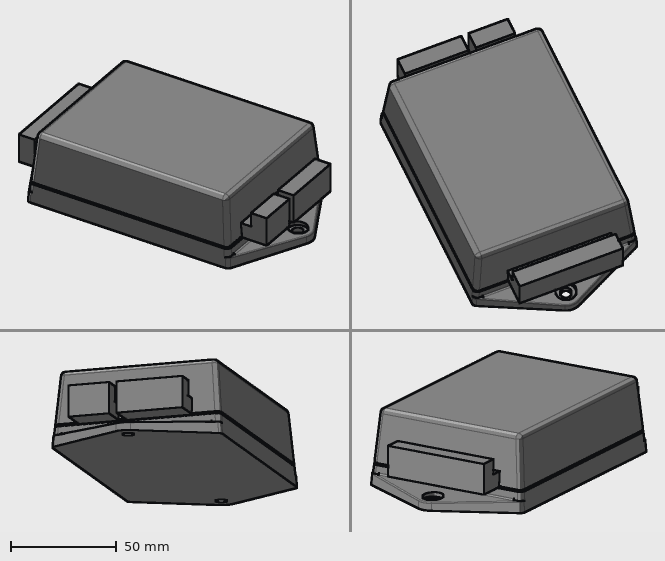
import cadquery as cq
import math

BASE_LENGTH = 113.0
BASE_WIDTH = 84.87
HEIGHT = 37.54
DRAFT = 5.0
EDGE_RADIUS = 2.5

BODY_FOOT = 3.0

GROOVE_BOTTOM = 10.1
GROOVE_HEIGHT = 0.95
GROOVE_DEPTH = 1.3

FLANGE_LENGTH = 152.73
FLANGE_TIP_RADIUS = 8.2
FLANGE_EDGE_ANGLE = 26.8
FLANGE_SLOPE = 5.0
FLANGE_TIP_HEIGHT = 4.0
FLANGE_CREST_X = 45.0
FLANGE_EDGE_RADIUS = 0.6
FLANGE_ROOT_RADIUS = 0.8
FLANGE_ROOT_LENGTH = 75.0

HOLE_X = FLANGE_LENGTH / 2 - FLANGE_TIP_RADIUS
HOLE_DIAMETER = 5.5
COUNTERBORE_DIAMETER = 10.0
COUNTERBORE_FLOOR = 2.9

BLOCK_OUTER_X = 69.3
BLOCK_STEP_X = 60.55
BLOCK_INNER_X = 50.0
BLOCK_BOTTOM = 10.65
BLOCK_STEP_HEIGHT = 18.4
BLOCK_TOP = 25.9
BLOCKS = [
    (-1, -28.9, 24.25),
    (1, -5.45, 27.4),
    (1, -29.4, -9.15),
]


def draft_inset(height):
    """How far a drafted wall has moved inwards at a given height."""
    return height * math.tan(math.radians(DRAFT))


def is_upward(face):
    """True for level and gently sloping top faces, whose normal points mostly along Z."""
    return face.normalAt().z > math.cos(math.radians(2 * FLANGE_SLOPE))


def make_enclosure():
    """Drafted box with rounded corners and rim; its foot is hidden inside the flange."""
    foot_inset = 2 * draft_inset(BODY_FOOT)
    body = (
        cq.Workplane("XY", origin=(0, 0, BODY_FOOT))
        .rect(BASE_LENGTH - foot_inset, BASE_WIDTH - foot_inset)
        .extrude(HEIGHT - BODY_FOOT, taper=DRAFT)
    )
    body = body.edges("not #Z").fillet(EDGE_RADIUS)
    return body.faces(">Z").edges().fillet(EDGE_RADIUS)


def make_groove():
    """Ring that is removed all round the enclosure at the parting line."""
    inset = 2 * (draft_inset(GROOVE_BOTTOM) + GROOVE_DEPTH)
    groove = cq.Workplane("XY", origin=(0, 0, GROOVE_BOTTOM))
    outer = groove.rect(FLANGE_LENGTH, FLANGE_LENGTH).extrude(GROOVE_HEIGHT)
    core = groove.rect(BASE_LENGTH - inset, BASE_WIDTH - inset).extrude(GROOVE_HEIGHT)
    return outer.cut(core.edges("|Z").fillet(EDGE_RADIUS - GROOVE_DEPTH))


def flange_outline():
    """Six-sided outline at the underside, with every corner rounded."""
    tilt = math.radians(FLANGE_EDGE_ANGLE)
    half_width = BASE_WIDTH / 2
    half_length = FLANGE_LENGTH / 2
    corner_y = half_width - EDGE_RADIUS
    corner_x = HOLE_X + (
        (FLANGE_TIP_RADIUS - EDGE_RADIUS) - corner_y * math.sin(tilt)
    ) / math.cos(tilt)
    corner_middle = (tilt + math.pi / 2) / 2

    tip_end = (HOLE_X + FLANGE_TIP_RADIUS * math.cos(tilt), FLANGE_TIP_RADIUS * math.sin(tilt))
    corner_points = [
        (corner_x + EDGE_RADIUS * math.cos(angle), corner_y + EDGE_RADIUS * math.sin(angle))
        for angle in (tilt, corner_middle, math.pi / 2)
    ]
    corner_start, corner_mid, corner_end = corner_points

    def turned(point, x_side, y_side):
        return (x_side * point[0], y_side * point[1])

    outline = cq.Workplane("XY").moveTo(*turned(tip_end, 1, -1))
    for side in (1, -1):
        outline = (
            outline.threePointArc((side * half_length, 0), turned(tip_end, side, side))
            .lineTo(*turned(corner_start, side, side))
            .threePointArc(turned(corner_mid, side, side), turned(corner_end, side, side))
            .lineTo(*turned(corner_end, -side, side))
            .threePointArc(turned(corner_mid, -side, side), turned(corner_start, -side, side))
            .lineTo(*turned(tip_end, -side, side))
        )
    return outline.close()


def make_flange():
    """Drafted plate whose top falls from a flat crest, hidden in the enclosure, to both tips."""
    half_length = FLANGE_LENGTH / 2
    rise = (half_length - FLANGE_CREST_X) * math.tan(math.radians(FLANGE_SLOPE))
    crest_height = FLANGE_TIP_HEIGHT + rise
    plate = flange_outline().extrude(crest_height, taper=DRAFT)
    roof_profile = [
        (-half_length, 0),
        (half_length, 0),
        (half_length, FLANGE_TIP_HEIGHT),
        (FLANGE_CREST_X, crest_height),
        (-FLANGE_CREST_X, crest_height),
        (-half_length, FLANGE_TIP_HEIGHT),
    ]
    roof = cq.Workplane("XZ").polyline(roof_profile).close().extrude(BASE_WIDTH / 2, both=True)
    plate = plate.intersect(roof)
    top_faces = plate.faces().filter(is_upward)
    crest_lines = cq.selectors.BoxSelector(
        (-BASE_LENGTH / 2, -EDGE_RADIUS, 0), (BASE_LENGTH / 2, EDGE_RADIUS, HEIGHT)
    )
    rim = top_faces.edges(cq.selectors.InverseSelector(crest_lines))
    return rim.fillet(FLANGE_EDGE_RADIUS)


def make_root_fillet(side):
    """Rounded fill along the inner corner between an end wall and its flange top."""
    wall_tilt = math.radians(DRAFT)
    slope_tilt = math.radians(FLANGE_SLOPE)
    slope_height_at_centre = FLANGE_TIP_HEIGHT + FLANGE_LENGTH / 2 * math.tan(slope_tilt)
    corner_x = (BASE_LENGTH / 2 - slope_height_at_centre * math.tan(wall_tilt)) / (
        1 - math.tan(slope_tilt) * math.tan(wall_tilt)
    )
    corner_z = slope_height_at_centre - corner_x * math.tan(slope_tilt)

    def from_corner(distance, angle):
        return (
            side * (corner_x + distance * math.cos(angle)),
            corner_z + distance * math.sin(angle),
        )

    wall_angle = math.pi / 2 + wall_tilt
    slope_angle = -slope_tilt
    middle_angle = (wall_angle + slope_angle) / 2
    half_opening = (wall_angle - slope_angle) / 2
    tangent_length = FLANGE_ROOT_RADIUS / math.tan(half_opening)
    arc_distance = FLANGE_ROOT_RADIUS / math.sin(half_opening) - FLANGE_ROOT_RADIUS
    return (
        cq.Workplane("XZ")
        .moveTo(*from_corner(tangent_length, wall_angle))
        .threePointArc(from_corner(arc_distance, middle_angle), from_corner(tangent_length, slope_angle))
        .lineTo(*from_corner(-FLANGE_ROOT_RADIUS, middle_angle))
        .close()
        .extrude(FLANGE_ROOT_LENGTH / 2, both=True)
    )


def make_terminal_block(side, y_start, y_end):
    profile = [
        (BLOCK_INNER_X, BLOCK_BOTTOM),
        (BLOCK_OUTER_X, BLOCK_BOTTOM),
        (BLOCK_OUTER_X, BLOCK_TOP),
        (BLOCK_STEP_X, BLOCK_TOP),
        (BLOCK_STEP_X, BLOCK_STEP_HEIGHT),
        (BLOCK_INNER_X, BLOCK_STEP_HEIGHT),
    ]
    sided_profile = [(side * x, z) for x, z in profile]
    plane = cq.Workplane("XZ", origin=(0, y_end, 0))
    return plane.polyline(sided_profile).close().extrude(y_end - y_start)


def cut_screw_hole(part, x):
    hole = cq.Workplane("XY", origin=(x, 0, 0)).circle(HOLE_DIAMETER / 2).extrude(BLOCK_BOTTOM)
    counterbore = (
        cq.Workplane("XY", origin=(x, 0, COUNTERBORE_FLOOR))
        .circle(COUNTERBORE_DIAMETER / 2)
        .extrude(FLANGE_TIP_HEIGHT)
    )
    return part.cut(hole).cut(counterbore)


result = make_enclosure().cut(make_groove()).union(make_flange())
for side in (-1, 1):
    result = result.union(make_root_fillet(side))
for block in BLOCKS:
    result = result.union(make_terminal_block(*block))
for x in (-HOLE_X, HOLE_X):
    result = cut_screw_hole(result, x)